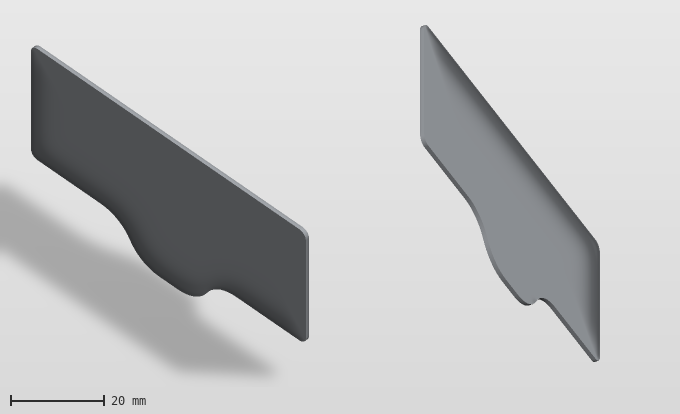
import cadquery as cq
import math

width = 82.0
total_height = 44.0
thickness = 1.0
corner_radius = 2.0

tab_depth = 10.0
flank_radius = 10.0
tab_flat_half_width = 2.8

flank_angle = math.acos(1 - tab_depth / (2 * flank_radius))
arc_run = flank_radius * math.sin(flank_angle)
mid_run = flank_radius * math.sin(flank_angle / 2)
mid_drop = flank_radius * (1 - math.cos(flank_angle / 2))

half_width = width / 2
top_z = total_height / 2
bottom_z = -total_height / 2
plate_bottom_z = bottom_z + tab_depth
joint_z = bottom_z + tab_depth / 2
joint_x = tab_flat_half_width + arc_run
root_x = joint_x + arc_run


def make_plate():
    """Rectangular plate with rounded corners."""
    plate_height = total_height - tab_depth
    plate = cq.Workplane("XY").box(width, thickness, plate_height)
    plate = plate.edges("|Y").fillet(corner_radius)
    return plate.translate((0, 0, (top_z + plate_bottom_z) / 2))


def make_tab():
    """Bell-shaped tab, overlapping the plate so the two join solidly."""
    overlap_z = plate_bottom_z + corner_radius
    upper_mid = (root_x - mid_run, plate_bottom_z - mid_drop)
    lower_mid = (tab_flat_half_width + mid_run, bottom_z + mid_drop)
    return (
        cq.Workplane("XZ")
        .moveTo(-root_x, overlap_z)
        .lineTo(root_x, overlap_z)
        .lineTo(root_x, plate_bottom_z)
        .threePointArc(upper_mid, (joint_x, joint_z))
        .threePointArc(lower_mid, (tab_flat_half_width, bottom_z))
        .lineTo(-tab_flat_half_width, bottom_z)
        .threePointArc((-lower_mid[0], lower_mid[1]), (-joint_x, joint_z))
        .threePointArc((-upper_mid[0], upper_mid[1]), (-root_x, plate_bottom_z))
        .close()
        .extrude(thickness / 2, both=True)
    )


result = make_plate().union(make_tab()).clean()